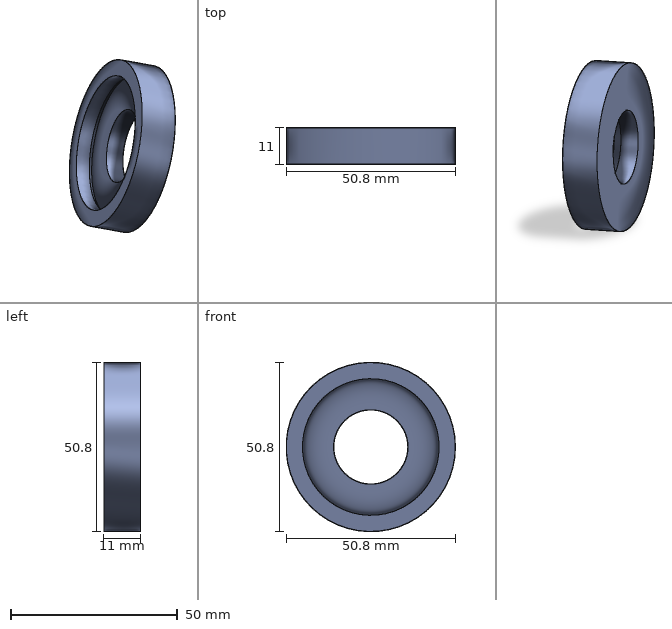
import cadquery as cq

outer_diameter = 50.8
thickness = 11.0
recess_diameter = 41.0
recess_depth = thickness / 2
lip_depth = 4.3
undercut = 0.85
bore_diameter = 22.2


def disc(diameter, start, end):
    """Cylinder along Y between two depths behind the -Y face."""
    return cq.Workplane("XZ", origin=(0, start, 0)).circle(diameter / 2).extrude(start - end)


body = disc(outer_diameter, 0, thickness)
recess = disc(recess_diameter, 0, recess_depth)
groove = disc(recess_diameter + 2 * undercut, lip_depth, recess_depth)
bore = disc(bore_diameter, 0, thickness)

result = body.cut(recess).cut(groove).cut(bore)